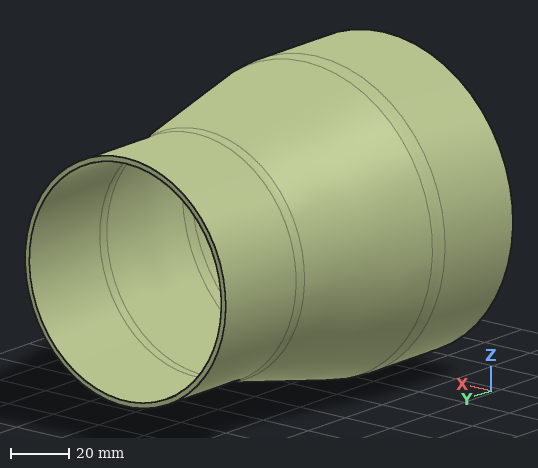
import cadquery as cq
import math

length = 140.0
large_diameter = 114.2
large_bore = 110.3
small_diameter = 88.9
large_end_length = 37.0
small_end_length = 38.0
large_bend_radius = 29.3
small_bend_radius = 19.6

wall = (large_diameter - large_bore) / 2
large_radius = large_diameter / 2
small_radius = small_diameter / 2

large_centre_r = large_radius - large_bend_radius
large_centre_y = large_end_length
small_centre_r = small_radius + small_bend_radius
small_centre_y = length - small_end_length

centre_step_r = small_centre_r - large_centre_r
centre_step_y = small_centre_y - large_centre_y
centre_distance = math.hypot(centre_step_r, centre_step_y)
cone_angle = math.atan2(centre_step_y, centre_step_r) - math.acos(
    (large_bend_radius + small_bend_radius) / centre_distance
)


def reducer_body(inset):
    """Solid bounded by the outer skin moved inwards by inset."""
    large_bend = large_bend_radius - inset
    small_bend = small_bend_radius + inset

    def on_large_bend(angle):
        return (
            large_centre_r + large_bend * math.cos(angle),
            large_centre_y + large_bend * math.sin(angle),
        )

    def on_small_bend(angle):
        return (
            small_centre_r - small_bend * math.cos(angle),
            small_centre_y - small_bend * math.sin(angle),
        )

    return (
        cq.Workplane("ZY")
        .lineTo(large_radius - inset, 0)
        .lineTo(*on_large_bend(0))
        .threePointArc(on_large_bend(cone_angle / 2), on_large_bend(cone_angle))
        .lineTo(*on_small_bend(cone_angle))
        .threePointArc(on_small_bend(cone_angle / 2), on_small_bend(0))
        .lineTo(small_radius - inset, length)
        .lineTo(0, length)
        .close()
        .revolve(360, (0, 0, 0), (0, 1, 0))
    )


result = reducer_body(0).cut(reducer_body(wall))